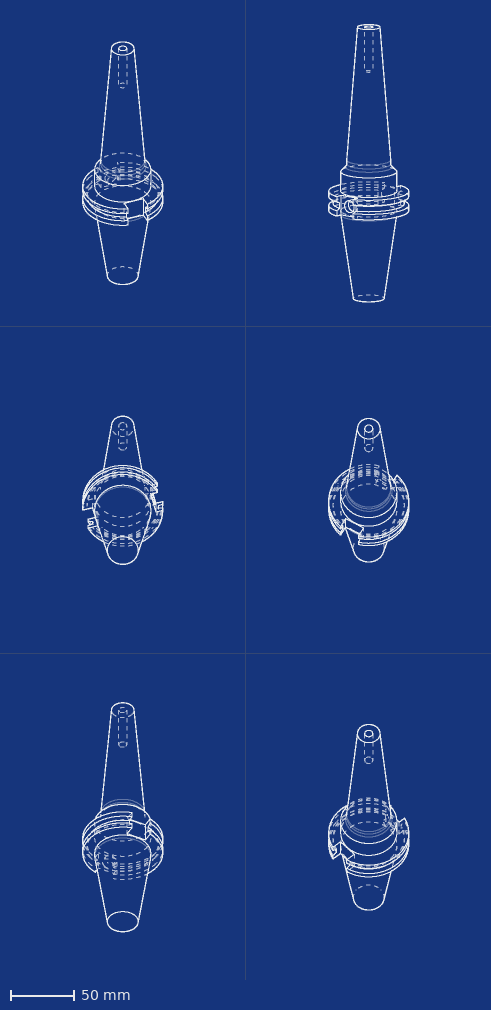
import cadquery as cq
import math


gauge_diameter = 44.45
taper_length = 68.25
taper_ratio = 7 / 24
shank_end_diameter = gauge_diameter - taper_ratio * taper_length

flange_diameter = 63.5
flange_bottom_z = 3.175
flange_thickness = 15.875
flange_top_z = flange_bottom_z + flange_thickness
flange_mid_z = flange_bottom_z + flange_thickness / 2
groove_floor_diameter = 56.4
groove_mouth_width = 7.0
groove_floor_width = 4.4

slot_width = 16.38
left_slot_floor_x = -25.0
right_slot_floor_x = 22.6

recess_diameter = 9.6
recess_depth = 5.0

collar_top_z = 35.0
bevel_angle = math.radians(45)
blend_radius = 3.5
neck_diameter = 35.0
neck_top_z = 44.4

nose_top_z = 152.4
nose_end_diameter = 18.0
bore_diameter = 6.35
bore_depth = 36.0


def turned_body():
    """Revolve the half outline of the holder about Z, leaving out the groove."""
    collar_radius = gauge_diameter / 2
    neck_radius = neck_diameter / 2

    arc_centre_r = neck_radius + blend_radius
    blend_start_r = arc_centre_r - blend_radius * math.cos(math.pi / 2 - bevel_angle)
    blend_start_z = collar_top_z + (collar_radius - blend_start_r) * math.tan(bevel_angle)
    blend_end_z = blend_start_z + blend_radius * math.cos(bevel_angle)
    mid_angle = (math.pi / 2 - bevel_angle) / 2
    blend_mid = (
        arc_centre_r - blend_radius * math.cos(mid_angle),
        blend_end_z - blend_radius * math.sin(mid_angle),
    )

    outline = (
        cq.Workplane("XZ")
        .moveTo(0, -taper_length)
        .lineTo(shank_end_diameter / 2, -taper_length)
        .lineTo(collar_radius, 0)
        .lineTo(collar_radius, flange_bottom_z)
        .lineTo(flange_diameter / 2, flange_bottom_z)
        .lineTo(flange_diameter / 2, flange_top_z)
        .lineTo(collar_radius, flange_top_z)
        .lineTo(collar_radius, collar_top_z)
        .lineTo(blend_start_r, blend_start_z)
        .threePointArc(blend_mid, (neck_radius, blend_end_z))
        .lineTo(neck_radius, neck_top_z)
        .lineTo(nose_end_diameter / 2, nose_top_z)
        .lineTo(0, nose_top_z)
        .close()
    )
    return outline.revolve(360, (0, 0, 0), (0, 1, 0))


def gripper_groove():
    """Ring with a trapezoidal section, centred on the flange thickness."""
    floor_radius = groove_floor_diameter / 2
    rim_radius = flange_diameter / 2
    section = (
        cq.Workplane("XZ")
        .moveTo(floor_radius, flange_mid_z - groove_floor_width / 2)
        .lineTo(rim_radius, flange_mid_z - groove_mouth_width / 2)
        .lineTo(rim_radius, flange_mid_z + groove_mouth_width / 2)
        .lineTo(floor_radius, flange_mid_z + groove_floor_width / 2)
        .close()
    )
    return section.revolve(360, (0, 0, 0), (0, 1, 0))


def drive_slot(floor_x):
    """Block running from the slot floor outward to the flange rim."""
    rim_x = math.copysign(flange_diameter / 2, floor_x)
    return (
        cq.Workplane("XY", origin=((floor_x + rim_x) / 2, 0, flange_mid_z))
        .box(abs(rim_x - floor_x), slot_width, flange_thickness)
    )


def slot_recess():
    """Cylinder entering the floor of the -X slot along +X."""
    return (
        cq.Workplane("YZ", origin=(left_slot_floor_x, 0, flange_mid_z))
        .circle(recess_diameter / 2)
        .extrude(recess_depth)
    )


def tool_bore():
    """Cylinder entering the nose from its end face."""
    return (
        cq.Workplane("XY", origin=(0, 0, nose_top_z - bore_depth))
        .circle(bore_diameter / 2)
        .extrude(bore_depth)
    )


result = (
    turned_body()
    .cut(gripper_groove())
    .cut(drive_slot(left_slot_floor_x))
    .cut(drive_slot(right_slot_floor_x))
    .cut(slot_recess())
    .cut(tool_bore())
)